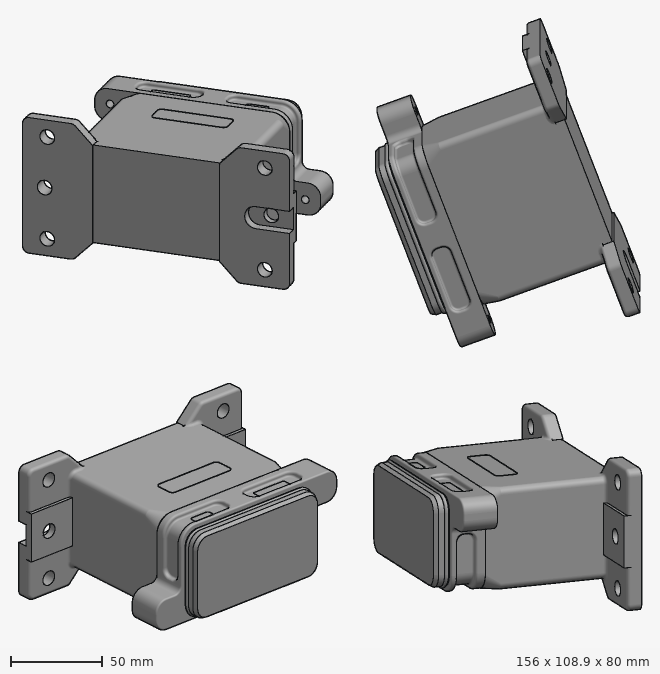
import cadquery as cq

foot_span = 156.0
foot_height = 80.0
foot_thickness = 8.4
foot_inner_x = 37.0
foot_corner_radius = 4.0
foot_edge_radius = 2.0
foot_root_radius = 2.0
pad_height = 29.4
pad_top_y = foot_thickness + foot_root_radius
bolt_diameter = 8.5
outer_bolt_x = 63.5
outer_bolt_z = 30.0
middle_bolt_x = 65.0
slot_width = 13.0
slot_center_x = 58.3
slot_depth = 6.0

body_width = 95.8
body_height = 57.6
body_front_y = 1.0
body_corner_radius = 3.75
flare_start_y = 70.5
flare_corner_radius = 10.0
label_width = 44.2
label_length = 13.2
label_corner_radius = 2.5
label_center_y = 56.6
label_depth = 0.3

collar_front_y = 80.0
collar_back_y = 100.0
collar_width = 96.0
collar_height = 57.8
collar_corner_radius = 11.0
collar_edge_radius = 1.0
ear_tip_x = 66.0
ear_bottom_z = 10.0
ear_radius = 7.6
ear_root_radius = 4.0
ear_hole_diameter = 4.5
ear_hole_x = 57.0
ear_hole_z = 20.0
ear_hole_depth = 12.0

pocket_center_y = 91.0
pocket_width = 11.0
pocket_depth = 3.0
pocket_corner_radius = 4.3
pocket_floor_radius = 1.2
pocket_rim_radius = 1.4
plain_pocket_length = 37.4
plain_pocket_x = -26.3
wrap_start_x = 7.8
wrap_end_z = -4.9
name_frame_size = (22.4, 6.4)
name_frame_radius = 0.8
rating_frame_size = (13.3, 5.2)
rating_frame_radius = 1.8
rating_frame_x = 24.7
frame_depth = 0.2

insert_width = 90.0
insert_height = 52.0
insert_corner_radius = 8.5
insert_end_y = 108.9
insert_embedment = 1.0
insert_chamfer_length = 2.5
insert_chamfer_inset = 1.3
bead_overhang = 0.9
bead_diameter = 2.5
bead_center_y = 101.7

half_body_width = body_width / 2
half_body_height = body_height / 2
half_collar_width = collar_width / 2
half_collar_height = collar_height / 2

tolerance = 0.01


def section_at(y):
    """Sketching plane with local X along +X, local Y along +Z and normal along -Y."""
    return cq.Workplane("XZ", origin=(0, y, 0))


def half_turn(solid):
    """Copy of a solid turned 180 degrees about the Y axis."""
    return solid.rotate((0, 0, 0), (0, 1, 0), 180)


def rounded_block(width, height, radius, y_start, y_end):
    """Block along Y with its four long edges rounded."""
    block = section_at(y_start).rect(width, height).extrude(y_start - y_end)
    return block.edges("|Y").fillet(radius)


def make_body():
    """Rounded box whose corner radius grows towards the collar, with a shallow label recess on top."""
    body = rounded_block(body_width, body_height, body_corner_radius, body_front_y, flare_start_y)
    start = cq.Sketch().rect(body_width, body_height).vertices().fillet(body_corner_radius)
    end = cq.Sketch().rect(body_width, body_height).vertices().fillet(flare_corner_radius)
    flare_length = collar_front_y - flare_start_y
    flare = section_at(flare_start_y).placeSketch(
        start, end.moved(cq.Location(cq.Vector(0, 0, -flare_length)))
    ).loft()
    label = (
        cq.Workplane("XY", origin=(0, label_center_y, half_body_height - label_depth))
        .rect(label_width, label_length)
        .extrude(2 * label_depth)
        .edges("|Z")
        .fillet(label_corner_radius)
    )
    return body.union(flare).cut(label)


def make_foot():
    """Left foot with its end pad."""
    outer_x = foot_span / 2
    half_height = foot_height / 2
    chamfer = half_height - half_body_height
    shoulder_x = foot_inner_x + chamfer
    outline = [
        (-outer_x, -half_height),
        (-shoulder_x, -half_height),
        (-foot_inner_x, -half_body_height),
        (-foot_inner_x, half_body_height),
        (-shoulder_x, half_height),
        (-outer_x, half_height),
    ]
    foot = section_at(0).polyline(outline).close().extrude(-foot_thickness)
    foot = foot.edges("|Y").edges("<Z or >Z").fillet(foot_corner_radius)
    foot = foot.faces(">Y").edges("not(>X)").fillet(foot_edge_radius)
    pad_length = outer_x - foot_inner_x
    pad = (
        section_at(0)
        .center(-outer_x + pad_length / 2, 0)
        .rect(pad_length, pad_height)
        .extrude(-pad_top_y)
    )
    return foot.union(pad)


def make_bolt_holes():
    """Three through holes in each foot."""
    points = [(side * middle_bolt_x, 0) for side in (-1, 1)]
    points += [(sx * outer_bolt_x, sz * outer_bolt_z) for sx in (-1, 1) for sz in (-1, 1)]
    return section_at(0).pushPoints(points).circle(bolt_diameter / 2).extrude(-pad_top_y)


def make_foot_slot():
    """Round-ended recess in the right foot, open at its outer end."""
    length = foot_span / 2 - slot_center_x
    straight = (
        section_at(0)
        .center(slot_center_x + length / 2, 0)
        .rect(length, slot_width)
        .extrude(-slot_depth)
    )
    end = section_at(0).center(slot_center_x, 0).circle(slot_width / 2).extrude(-slot_depth)
    return straight.union(end)


def make_collar_blank():
    """Collar without holes or pockets; its outline is unchanged by a half turn about Y."""
    half_outline = [
        (-ear_tip_x, half_collar_height),
        (half_collar_width, half_collar_height),
        (half_collar_width, -ear_bottom_z),
        (ear_tip_x, -ear_bottom_z),
    ]
    outline = half_outline + [(-x, -z) for x, z in half_outline]
    blank = section_at(collar_front_y).polyline(outline).close().extrude(collar_front_y - collar_back_y)
    middle_y = (collar_front_y + collar_back_y) / 2

    def round_pair(solid, x, z, radius):
        for sign in (-1, 1):
            corner = (sign * x, middle_y, sign * z)
            solid = solid.edges(cq.NearestToPointSelector(corner)).fillet(radius)
        return solid

    blank = round_pair(blank, half_collar_width, half_collar_height, collar_corner_radius)
    blank = round_pair(blank, half_collar_width, -ear_bottom_z, ear_root_radius)
    blank = round_pair(blank, ear_tip_x, -ear_bottom_z, ear_radius)
    blank = round_pair(blank, ear_tip_x, -half_collar_height, ear_radius)
    return blank.faces(">Y").edges().fillet(collar_edge_radius)


def make_plain_pocket():
    """Straight pocket in the top of the collar."""
    floor_z = half_collar_height - pocket_depth
    return (
        cq.Workplane("XY", origin=(plain_pocket_x, pocket_center_y, floor_z))
        .rect(plain_pocket_length, pocket_width)
        .extrude(2 * pocket_depth)
        .edges("|Z")
        .fillet(pocket_corner_radius)
        .faces("<Z")
        .edges()
        .fillet(pocket_floor_radius)
    )


def make_wrap_pocket():
    """Pocket that runs along the top and round the rounded corner onto the right side."""
    over = pocket_depth
    top_length = half_collar_width + over - wrap_start_x
    corner_start_x = half_collar_width - collar_corner_radius
    side_length = half_collar_height + over - wrap_end_z
    top_run = (
        cq.Workplane("XY", origin=(wrap_start_x + top_length / 2, pocket_center_y, 0))
        .rect(top_length, pocket_width)
        .extrude(half_collar_height + over)
        .edges("|Z and <X")
        .fillet(pocket_corner_radius)
    )
    side_run = (
        cq.Workplane("YZ", origin=(corner_start_x, pocket_center_y, wrap_end_z + side_length / 2))
        .rect(pocket_width, side_length)
        .extrude(collar_corner_radius + over)
        .edges("|X and <Z")
        .fillet(pocket_corner_radius)
    )
    core = rounded_block(
        collar_width - 2 * pocket_depth,
        collar_height - 2 * pocket_depth,
        collar_corner_radius - pocket_depth,
        collar_front_y,
        collar_back_y,
    )
    run = top_run.union(side_run).cut(core)
    floor_x = half_collar_width - pocket_depth
    floor_z = half_collar_height - pocket_depth
    floor_box = cq.selectors.BoxSelector(
        (wrap_start_x - tolerance, collar_front_y, wrap_end_z - tolerance),
        (floor_x + tolerance, collar_back_y, floor_z + tolerance),
        boundingbox=True,
    )
    return run.edges(floor_box).fillet(pocket_floor_radius)


def is_pocket_rim(edge):
    """True for an edge lying in the outer skin of the collar, clear of its front and back faces."""
    box = edge.BoundingBox()
    in_top = abs(box.zmin + box.zmax) / 2 > half_collar_height - tolerance
    in_side = abs(box.xmin + box.xmax) / 2 > half_collar_width - tolerance and box.xlen < tolerance
    reach = pocket_width / 2 + tolerance
    clear = abs(box.ymin - pocket_center_y) < reach and abs(box.ymax - pocket_center_y) < reach
    at_corner = edge.geomType() == "CIRCLE" and abs(edge.radius() - collar_corner_radius) < tolerance
    return clear and (in_top or in_side or at_corner)


def make_frame(size, radius, x):
    """Shallow rounded panel sunk into a top pocket floor."""
    width, length = size
    floor_z = half_collar_height - pocket_depth
    return (
        cq.Workplane("XY", origin=(x, pocket_center_y, floor_z - frame_depth))
        .rect(width, length)
        .extrude(2 * frame_depth)
        .edges("|Z")
        .fillet(radius)
    )


def make_collar():
    """Collar with four grip pockets, two ear holes and the sunken panels."""
    collar = make_collar_blank()
    for pocket in (make_plain_pocket(), make_wrap_pocket()):
        collar = collar.cut(pocket).cut(half_turn(pocket))
    rims = [edge for edge in collar.edges().vals() if is_pocket_rim(edge)]
    collar = collar.newObject(rims).fillet(pocket_rim_radius)
    ear_hole = (
        section_at(collar_front_y)
        .center(-ear_hole_x, ear_hole_z)
        .circle(ear_hole_diameter / 2)
        .extrude(-ear_hole_depth)
    )
    collar = collar.cut(ear_hole).cut(half_turn(ear_hole))
    name_frame = make_frame(name_frame_size, name_frame_radius, plain_pocket_x)
    rating_frame = make_frame(rating_frame_size, rating_frame_radius, rating_frame_x)
    return collar.cut(name_frame).cut(rating_frame)


def make_insert():
    """Rounded plug, rooted in the collar, with a round sealing bead around it."""
    insert_start_y = collar_back_y - insert_embedment
    insert = rounded_block(insert_width, insert_height, insert_corner_radius, insert_start_y, insert_end_y)
    insert = insert.faces(">Y").edges().chamfer(insert_chamfer_length, insert_chamfer_inset)
    path_inset = bead_diameter / 2 - bead_overhang
    path = rounded_block(
        insert_width - 2 * path_inset,
        insert_height - 2 * path_inset,
        insert_corner_radius - path_inset,
        bead_center_y,
        insert_end_y,
    )
    path = path.faces("<Y").wires()
    bead = (
        cq.Workplane("YZ", origin=(0, bead_center_y, insert_height / 2 - path_inset))
        .circle(bead_diameter / 2)
        .sweep(path)
    )
    return insert.union(bead)


def round_foot_roots(part):
    """Blend the rounded rear edge of each foot into the body, beside the end pad."""
    edge_start_y = foot_thickness - foot_edge_radius
    margin = 1.0
    blended = part
    for side in (-1, 1):
        ends = sorted((side * foot_inner_x, side * half_body_width))
        root_box = cq.selectors.BoxSelector(
            (ends[0] - tolerance, edge_start_y - tolerance, -half_body_height - tolerance),
            (ends[1] + tolerance, foot_thickness + tolerance, half_body_height + tolerance),
            boundingbox=True,
        )
        blended = blended.edges(root_box).fillet(foot_root_radius)
    surplus = (
        section_at(0)
        .rect(2 * (foot_inner_x + margin), body_height + 2 * margin)
        .extrude(-edge_start_y)
        .cut(part)
    )
    return blended.cut(surplus)


def make_part():
    foot = make_foot()
    part = round_foot_roots(make_body().union(foot).union(half_turn(foot)))
    part = part.union(make_collar()).union(make_insert())
    return part.cut(make_bolt_holes()).cut(make_foot_slot())


result = make_part()